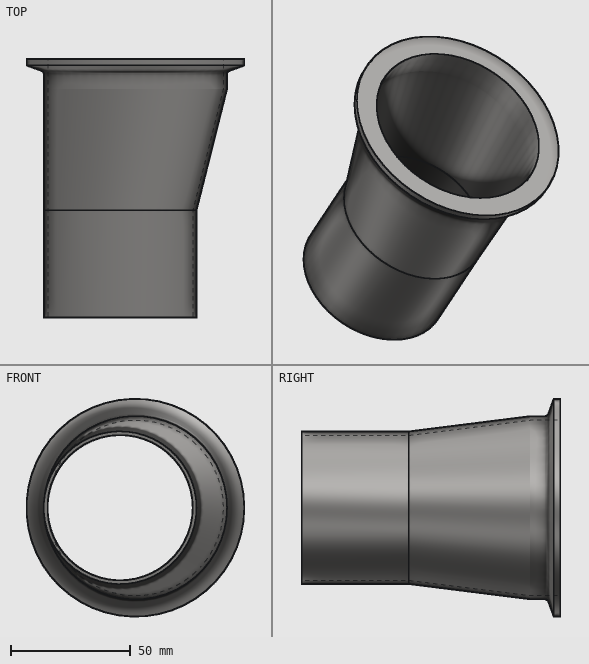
import cadquery as cq
import math

total_length = 108.0
wall = 1.6

flange_radius = 45.5
rim_thickness = 2.8
flange_slope = math.radians(20)
neck_fillet = 1.5
large_radius = 38.2
collar_end = 12.6
cone_end = 63.3

tube_radius = 31.9
tube_offset = tube_radius - large_radius
tube_length = total_length - cone_end


def tube_rod(radius):
    """Round rod over the full length of the tube, from the cone toward -Y."""
    start = cq.Workplane("XZ", origin=(tube_offset, -cone_end, 0))
    return start.circle(radius).extrude(tube_length)


def slanted_cone(start_radius, end_radius):
    """Straight-sided cone from the collar to the offset circle of the tube."""
    return (
        cq.Workplane("XZ", origin=(0, -collar_end, 0))
        .circle(start_radius)
        .workplane(offset=cone_end - collar_end)
        .center(tube_offset, 0)
        .circle(end_radius)
        .loft(ruled=True)
    )


def make_flange_and_collar():
    """Revolved flange with a sloping back that blends into the collar through an arc."""
    arc_center_radius = large_radius + neck_fillet
    slope_end_radius = arc_center_radius - neck_fillet * math.sin(flange_slope)
    slope_end_depth = rim_thickness + (flange_radius - slope_end_radius) * math.tan(flange_slope)
    arc_center_depth = slope_end_depth + neck_fillet * math.cos(flange_slope)

    middle_angle = flange_slope + (math.pi / 2 - flange_slope) / 2
    arc_middle = (
        arc_center_radius - neck_fillet * math.sin(middle_angle),
        -(arc_center_depth - neck_fillet * math.cos(middle_angle)),
    )
    bore_radius = large_radius - wall
    return (
        cq.Workplane("XY")
        .moveTo(bore_radius, 0)
        .lineTo(flange_radius, 0)
        .lineTo(flange_radius, -rim_thickness)
        .lineTo(slope_end_radius, -slope_end_depth)
        .threePointArc(arc_middle, (large_radius, -arc_center_depth))
        .lineTo(large_radius, -collar_end)
        .lineTo(bore_radius, -collar_end)
        .close()
        .revolve(360, (0, 0, 0), (0, 1, 0))
    )


def make_reducer():
    cone_shell = slanted_cone(large_radius, tube_radius).cut(
        slanted_cone(large_radius - wall, tube_radius - wall)
    )
    return make_flange_and_collar().union(cone_shell)


def make_tube():
    outside = tube_rod(tube_radius)
    bore = tube_rod(tube_radius - wall)
    return outside.cut(bore)


reducer = make_reducer()
tube = make_tube()

result = cq.Compound.makeCompound([reducer.solids().val(), tube.solids().val()])